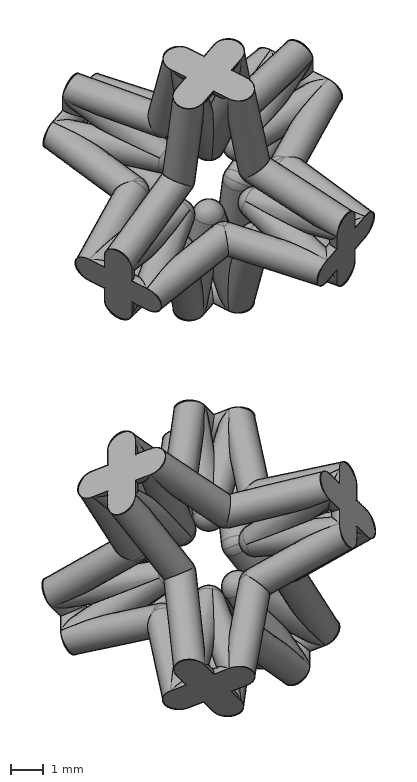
import cadquery as cq

cell_size = 10.0
bar_diameter = 1.0
tip_offset = 1.05
joint_offset = 1.67

half_cell = cell_size / 2
bar_radius = bar_diameter / 2
branches_per_arm = 4

cell_center = cq.Vector(0, 0, 0)
face_center = cq.Vector(0, 0, half_cell)
tip = cq.Vector(tip_offset, 0, half_cell)
joint = cq.Vector(joint_offset, 0, joint_offset)
apex = cq.Vector(0, 0, joint_offset)


def bar(start, end, overrun=0):
    """Round bar from start to end, carried past the end by the overrun."""
    axis = end - start
    return cq.Workplane(cq.Solid.makeCylinder(bar_radius, axis.Length + overrun, start, axis))


def ball(center):
    """Ball that rounds the place where bars meet."""
    return cq.Workplane("XY").sphere(bar_radius).translate(center.toTuple())


def branch_zone():
    """Pyramid |y| <= x <= z: the share of the cell that belongs to one branch."""
    front_corner = cq.Vector(half_cell, -half_cell, half_cell)
    back_corner = cq.Vector(half_cell, half_cell, half_cell)
    triangles = [
        (face_center, front_corner, back_corner),
        (cell_center, face_center, front_corner),
        (cell_center, front_corner, back_corner),
        (cell_center, back_corner, face_center),
    ]
    faces = [cq.Face.makeFromWires(cq.Wire.makePolygon(points, close=True)) for points in triangles]
    return cq.Workplane(cq.Solid.makeSolid(cq.Shell.makeShell(faces)))


def make_branch():
    """Leg with its half of the rounded joint, one limb of the cross, and the brace inside them."""
    leg = bar(joint, tip, overrun=bar_radius)
    cross_limb = bar(face_center, tip)
    brace = bar(apex, tip, overrun=bar_radius)
    zone = branch_zone()
    branch = leg.intersect(zone)
    for piece in (ball(joint), cross_limb, brace):
        branch = branch.union(piece.intersect(zone))
    return branch


def make_arm():
    """Upward arm: equal branches around Z, with a ball where the braces meet."""
    branch = make_branch()
    arm = branch
    for index in range(1, branches_per_arm):
        angle = index * 360 / branches_per_arm
        arm = arm.union(branch.rotate((0, 0, 0), (0, 0, 1), angle))
    return arm.union(ball(apex))


def make_cell():
    """Upward arm turned onto the other five faces of the cube."""
    arm = make_arm()
    cell = arm
    for axis, angles in (((1, 0, 0), (90, 180, 270)), ((0, 1, 0), (90, 270))):
        for angle in angles:
            cell = cell.union(arm.rotate((0, 0, 0), axis, angle))
    return cell


result = make_cell().solids()